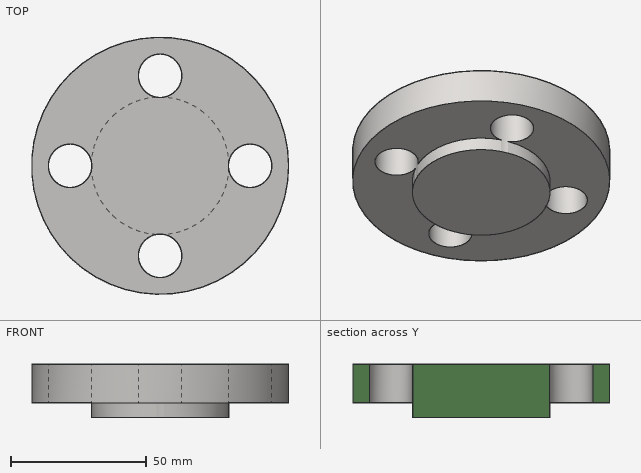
import cadquery as cq

flange_diameter = 95.2
total_height = 19.8
flange_thickness = 14.4
face_diameter = 50.9
bolt_circle_diameter = 66.7
bolt_hole_diameter = 16.0
bolt_count = 4

face_height = total_height - flange_thickness


def blind_flange_body():
    """Flange disc with the raised face hanging below its underside at Z = 0."""
    disc = cq.Workplane("XY").circle(flange_diameter / 2).extrude(flange_thickness)
    raised_face = cq.Workplane("XY").circle(face_diameter / 2).extrude(-face_height)
    return disc.union(raised_face)


def bolt_holes():
    """Full-height cutters on the X and Y axes; they just graze the rim of the raised face."""
    return (
        cq.Workplane("XY", origin=(0, 0, -face_height))
        .polarArray(bolt_circle_diameter / 2, 0, 360, bolt_count)
        .circle(bolt_hole_diameter / 2)
        .extrude(total_height)
    )


result = blind_flange_body().cut(bolt_holes())